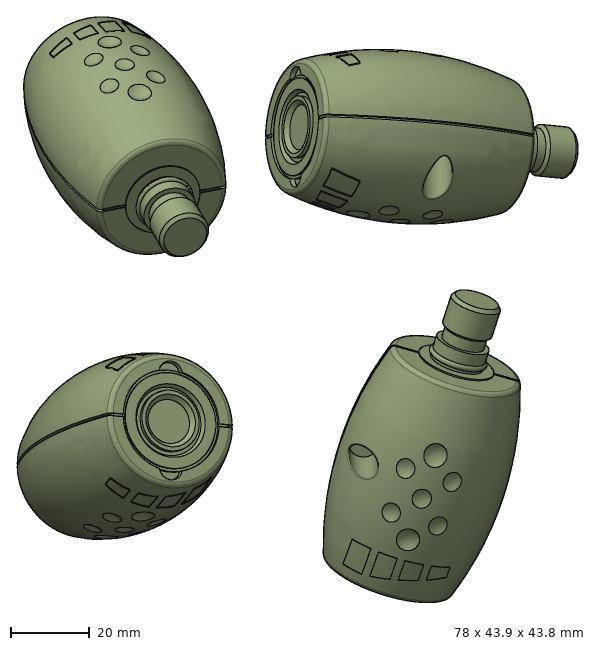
import cadquery as cq
import math

barrel_length = 60.05
barrel_radius = 43.9 / 2
bulge_radius = 93.6
mid_x = barrel_length / 2
end_draft = 1.0
end_rounding = 1.4

split_gap = 0.7
split_depth = 1.3
split_end_depth = 0.3

shell_bore_radius = 13.25
core_radius = 25.0 / 2
core_recess = 0.4
socket_depth = 1.2
socket_mouth_radius = 9.6
socket_floor_radius = 8.9
lip_radius = 15.8 / 2
seat_mouth_radius = 6.9
seat_floor_radius = 11.5 / 2
ring_groove_depth = 0.5

notch_radius = 3.2
notch_offset = 12.4
notch_depth = 1.55
notch_taper = 8.0

dimple_radius = 2.65
dimple_depth = 0.8
end_dimple_radius = 3.2
end_dimple_depth = 1.2
dimple_pitch = 6.25
end_dimple_offset = 11.9

window_count = 4
window_pitch = 7.0
window_width = 5.0
window_start_x = 4.05
window_end_x = 12.1
window_depth = 0.2
slant_x = 5.85
slant_slope = 0.23

cross_hole_x = 32.5
cross_hole_y = -16.2
cross_hole_radius = 3.75
cross_hole_rounding = 0.2

plug_length = 78.0
collar_radius = 10.0
collar_end_x = 60.3
land_radius = 14.0 / 2
land_end_x = 65.8
neck_radius = 11.2 / 2
neck_end_x = 68.9
tip_radius = 13.2 / 2
tip_start_x = 69.65
tip_chamfer_x = 77.0
tip_end_radius = 11.5 / 2
ring_radius = 7.65
ring_width = 1.55
ring_x = 61.8
ring_gap = 1.2
ring_gap_angle = 58.0


def barrel_radius_at(x, inset=0.0):
    """Radius of the bulged surface at x, moved inwards by inset."""
    drop = bulge_radius - math.sqrt(bulge_radius**2 - (x - mid_x) ** 2)
    return barrel_radius - inset - drop


def revolve_about_x(outline):
    return outline.revolve(360, (0, 0, 0), (1, 0, 0))


def bulged_body(start_x, inset):
    """Solid barrel from start_x to its mirror image about the middle."""
    end_x = barrel_length - start_x
    end_radius = barrel_radius_at(start_x, inset)
    outline = (
        cq.Workplane("XY")
        .moveTo(start_x, 0)
        .lineTo(start_x, end_radius)
        .threePointArc((mid_x, barrel_radius - inset), (end_x, end_radius))
        .lineTo(end_x, 0)
        .close()
    )
    return revolve_about_x(outline)


def make_half_shell():
    """Upper half of the barrel, from the split upwards, with drafted and rounded ends."""
    block_height = 2 * barrel_radius
    lean = block_height * math.tan(math.radians(end_draft))
    base_lean = split_gap / 2 * math.tan(math.radians(end_draft))
    drafted_block = (
        cq.Workplane("XZ")
        .polyline([
            (base_lean, split_gap / 2),
            (lean, block_height),
            (barrel_length - lean, block_height),
            (barrel_length - base_lean, split_gap / 2),
        ])
        .close()
        .extrude(block_height, both=True)
    )
    half_shell = bulged_body(-end_rounding, 0).intersect(drafted_block)
    end_faces = half_shell.faces("<X or >X")
    return end_faces.edges("not |Y").fillet(end_rounding)


def disc(radius, start_x, end_x):
    return cq.Workplane("YZ").workplane(offset=start_x).circle(radius).extrude(end_x - start_x)


def make_socket():
    """Recessed core face with a ring groove, a flared trough and a conical seat."""
    floor_x = core_recess + socket_depth
    groove_x = core_recess + ring_groove_depth
    socket = disc(shell_bore_radius, 0, core_recess)
    ring_groove = disc(shell_bore_radius, 0, groove_x).cut(disc(core_radius, 0, groove_x))
    trough = revolve_about_x(
        cq.Workplane("XY").polyline([
            (core_recess, lip_radius),
            (core_recess, socket_mouth_radius),
            (floor_x, socket_floor_radius),
            (floor_x, lip_radius),
        ]).close()
    )
    seat = revolve_about_x(
        cq.Workplane("XY").polyline([
            (core_recess, 0),
            (core_recess, seat_mouth_radius),
            (floor_x, seat_floor_radius),
            (floor_x, 0),
        ]).close()
    )
    return socket.union(ring_groove).union(trough).union(seat)


def make_notches():
    """Part-round pockets in the shell, just outside the core."""
    notches = (
        cq.Workplane("YZ")
        .pushPoints([(0, notch_offset), (0, -notch_offset)])
        .circle(notch_radius)
        .extrude(notch_depth, taper=notch_taper)
    )
    return notches.cut(disc(shell_bore_radius, 0, notch_depth))


def make_dimple(x, y, radius, depth):
    """Sphere that leaves a dimple of the given size, set square to the upper surface."""
    sphere_radius = (radius**2 + depth**2) / (2 * depth)
    local_radius = barrel_radius_at(x)
    slope = math.asin((x - mid_x) / bulge_radius)
    turn = math.asin(y / local_radius)
    lift = sphere_radius - depth
    centre_x = x + lift * math.sin(slope)
    centre_radius = local_radius + lift * math.cos(slope)
    centre = (centre_x, centre_radius * math.sin(turn), centre_radius * math.cos(turn))
    return cq.Workplane("XY").sphere(sphere_radius).translate(centre)


def make_dimples():
    dimples = make_dimple(mid_x, 0, dimple_radius, dimple_depth)
    for side in (-1, 1):
        dimples = dimples.union(
            make_dimple(mid_x + side * end_dimple_offset, 0, end_dimple_radius, end_dimple_depth)
        )
        for y in (-dimple_pitch, dimple_pitch):
            dimples = dimples.union(
                make_dimple(mid_x + side * dimple_pitch, y, dimple_radius, dimple_depth)
            )
    return dimples


def make_windows():
    """Shallow windows that follow the barrel surface on its upper half."""
    prisms = cq.Workplane("XY")
    for index in range(window_count):
        centre_y = (index - (window_count - 1) / 2) * window_pitch
        low_y = centre_y - window_width / 2
        high_y = centre_y + window_width / 2
        prisms = prisms.union(
            cq.Workplane("XY")
            .polyline([
                (max(window_start_x, slant_x - slant_slope * low_y), low_y),
                (window_end_x, low_y),
                (window_end_x, high_y),
                (max(window_start_x, slant_x - slant_slope * high_y), high_y),
            ])
            .close()
            .extrude(barrel_radius)
        )
    return prisms.cut(bulged_body(0, window_depth))


def make_cross_hole():
    depth = barrel_radius - split_gap / 2
    return (
        cq.Workplane("XY")
        .workplane(offset=-barrel_radius)
        .center(cross_hole_x, cross_hole_y)
        .circle(cross_hole_radius)
        .extrude(depth)
    )


def make_plug():
    """Stepped plug with a low collar at the barrel and a split ring."""
    outline = (
        cq.Workplane("XY")
        .polyline([
            (mid_x, 0),
            (mid_x, collar_radius),
            (collar_end_x, collar_radius),
            (collar_end_x, land_radius),
            (land_end_x, land_radius),
            (land_end_x, neck_radius),
            (neck_end_x, neck_radius),
            (tip_start_x, tip_radius),
            (tip_chamfer_x, tip_radius),
            (plug_length, tip_end_radius),
            (plug_length, 0),
        ])
        .close()
    )
    ring_centre_radius = ring_radius - ring_width / 2
    ring = revolve_about_x(
        cq.Workplane("XY").moveTo(ring_x, ring_centre_radius).circle(ring_width / 2)
    )
    gap = (
        cq.Workplane("XY")
        .box(ring_width, ring_gap, ring_radius, centered=(True, True, False))
        .translate((ring_x, 0, 0))
        .rotate((0, 0, 0), (1, 0, 0), -ring_gap_angle)
    )
    return revolve_about_x(outline).union(ring.cut(gap))


half_shell = make_half_shell().cut(make_dimples()).cut(make_windows())
turned_half = half_shell.rotate((0, 0, 0), (1, 0, 0), 180)
split_floor = bulged_body(split_end_depth, split_depth)

result = split_floor.union(half_shell).union(turned_half)
result = result.cut(make_cross_hole())

hole_rim = cq.selectors.BoxSelector(
    (cross_hole_x - cross_hole_radius, cross_hole_y - cross_hole_radius, -barrel_radius),
    (cross_hole_x + cross_hole_radius, cross_hole_y + cross_hole_radius, -split_gap),
)
result = result.edges(hole_rim).fillet(cross_hole_rounding)
result = result.cut(make_socket()).cut(make_notches())
result = result.union(make_plug())